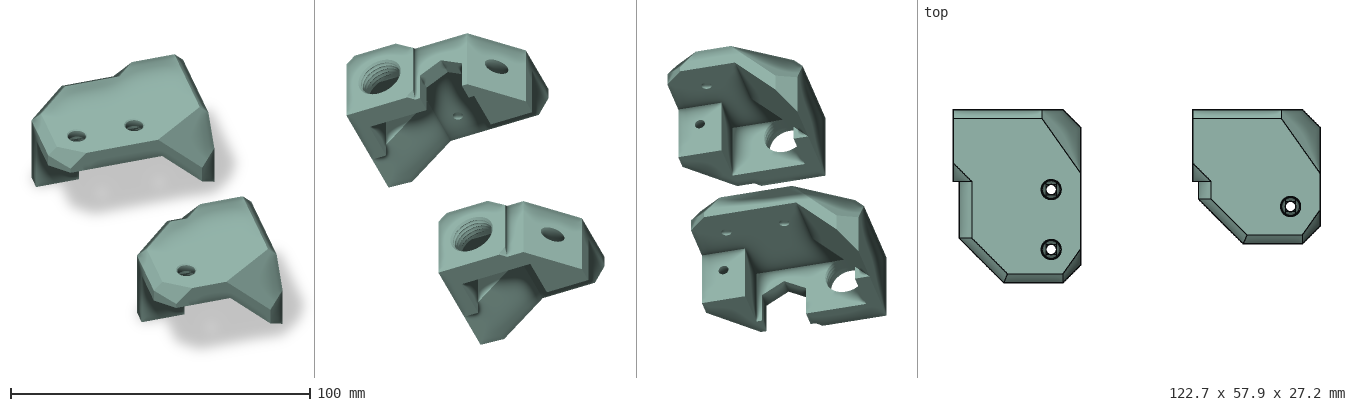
import cadquery as cq
import math

width = 42.7
height = 27.2
long_length = 57.9
short_length = 44.9
spacing = 80.0
oversize = 2 * long_length

tab_step = 2.0
tab_length = 24.0
corner = 6.0
diagonal_leg = 15.0

bevel = corner / 2
root2 = math.sqrt(2)
side_bevel_width = bevel * root2
back_corner_start = 13.0

plate = 7.2
left_wall = 6.0
back_wall = 5.0
front_block_width = 22.5
hollow_left = tab_step + left_wall

bore_diameter = 14.0
thread_diameter = 15.3
thread_pitch = 1.5
bore_y = -tab_length / 2
bore_z = height / 2

nick_height = 2.8
nick_step = 0.9

screw_diameter = 3.4
head_diameter = 6.0
mouth_diameter = 6.7
screw_x = 32.8
long_screws_y = (-26.8, -46.8)
short_screws_y = (-32.4,)
screw_head_depth = 2.8
bridge_step = 0.2
side_screw_z = 12.4
side_screw_to_front = 7.5
side_screw_seat = 6.0

gable_width = 15.2
gable_y = -33.4
gable_eave = 10.7
gable_peak = 15.1


def trim(body, point, normal):
    """Remove everything on the outer side of the plane through a point."""
    plane = cq.Plane(origin=point, normal=normal)
    return body.cut(cq.Workplane(plane).rect(2 * oversize, 2 * oversize).extrude(oversize))


def outline(length):
    return cq.Workplane("XY").polyline([
        (0, 0),
        (width - corner, 0),
        (width, -corner),
        (width, corner - length),
        (width - corner, -length),
        (tab_step + diagonal_leg, -length),
        (tab_step, diagonal_leg - length),
        (tab_step, -tab_length),
        (0, -tab_length),
    ]).close().extrude(height)


def box(x_range, y_range, z_range):
    size = [high - low for low, high in (x_range, y_range, z_range)]
    corner_point = (x_range[0], y_range[0], z_range[0])
    return cq.Workplane("XY").box(*size, centered=False).translate(corner_point)


def hollow(body, length):
    """Leave the top plate, the walls, the front block and a sloping gusset on the right."""
    ceiling = height - plate
    chamber = box((hollow_left, front_block_width), (diagonal_leg - length, -back_wall), (0, ceiling))
    under_slope = (
        cq.Workplane("YZ", origin=(front_block_width, 0, 0))
        .polyline([(0, 0), (-ceiling, ceiling), (-oversize, ceiling), (-oversize, 0)])
        .close()
        .extrude(oversize)
    )
    return body.cut(chamber).cut(under_slope)


def bevel_top(body, length):
    body = trim(body, (0, -bevel, height), (0, 1, 1))
    body = trim(body, (0, bevel - length, height), (0, -1, 1))
    body = trim(body, (width - back_corner_start, -bevel, height), (root2, 1, 1))
    body = trim(body, (width - corner, bevel - length, height), (root2, -1, 1))
    bevel_x = tab_step + side_bevel_width
    body = trim(body, (bevel_x, diagonal_leg - length, height), (-1, -1, root2))
    wall_wedge = (
        cq.Workplane("XZ", origin=(0, -tab_length, 0))
        .polyline([(tab_step, height - bevel), (bevel_x, height), (tab_step, height)])
        .close()
        .extrude(oversize)
    )
    tab_zone = box((0, width), (-tab_length, 0), (0, height))
    tab_offcut = tab_zone.cut(trim(tab_zone, (bevel_x, -tab_length, height), (-1, -1, root2)))
    return body.cut(wall_wedge).cut(tab_offcut)


def nick_tab(body):
    """Cut the lower front corner of the tab back to the line of an upright 45 degree face."""
    depth = tab_step / root2
    section = cq.Plane(origin=(0, -tab_length, 0), xDir=(1, 1, 0), normal=(1, -1, 0))
    cutter = (
        cq.Workplane(section)
        .polyline([(0, 0), (depth, 0), (depth, nick_step), (0, nick_height)])
        .close()
        .extrude(tab_step * root2 / 2, both=True)
    )
    return body.cut(cutter)


def cylinder_x(diameter, y, z, start, end):
    return cq.Workplane("YZ", origin=(start, y, z)).circle(diameter / 2).extrude(end - start)


def cut_bore(body):
    """Ring-grooved bore along X standing in for the thread; its first half pitch is the tapered mouth."""
    root = thread_diameter / 2
    crest = bore_diameter / 2
    profile = [(0, 0)]
    for turn in range(math.ceil(hollow_left / thread_pitch)):
        start = turn * thread_pitch
        profile += [(start, root), (start + thread_pitch / 2, crest)]
    profile.append((profile[-1][0], 0))
    bore = cq.Workplane("XY").polyline(profile).close().revolve(360, (0, 0, 0), (1, 0, 0))
    return body.cut(bore.translate((0, bore_y, bore_z)))


def cut_plate_screw(body, y):
    """Screw hole through the plate: chamfered head recess, two bridging steps, clearance hole."""
    def at(depth):
        return cq.Workplane("XY", origin=(screw_x, y, height - depth))

    mouth_depth = (mouth_diameter - head_diameter) / 2
    mouth = at(0).circle(mouth_diameter / 2).extrude(-mouth_depth, taper=45)
    head = at(0).circle(head_diameter / 2).extrude(-screw_head_depth)
    slot = at(screw_head_depth).rect(screw_diameter, head_diameter).extrude(-bridge_step)
    slot = slot.intersect(at(0).circle(head_diameter / 2).extrude(-plate))
    square = at(screw_head_depth).rect(screw_diameter, screw_diameter).extrude(-2 * bridge_step)
    shank = at(0).circle(screw_diameter / 2).extrude(-plate)
    for cutter in (mouth, head, slot, square, shank):
        body = body.cut(cutter)
    return body


def cut_side_screw(body, length):
    """Counterbored screw hole along X through the front block."""
    y = side_screw_to_front - length
    seat = front_block_width - side_screw_seat
    body = body.cut(cylinder_x(head_diameter, y, side_screw_z, 0, seat))
    return body.cut(cylinder_x(screw_diameter, y, side_screw_z, 0, front_block_width))


def cut_gable(body):
    opening = (
        cq.Workplane("YZ")
        .polyline([
            (gable_y - gable_width / 2, 0),
            (gable_y - gable_width / 2, gable_eave),
            (gable_y, gable_peak),
            (gable_y + gable_width / 2, gable_eave),
            (gable_y + gable_width / 2, 0),
        ])
        .close()
        .extrude(hollow_left)
    )
    return body.cut(opening)


def bracket(length, screws_y):
    body = bevel_top(hollow(outline(length), length), length)
    body = cut_bore(nick_tab(body))
    for y in screws_y:
        body = cut_plate_screw(body, y)
    return cut_side_screw(body, length)


long_bracket = cut_gable(bracket(long_length, long_screws_y))
short_bracket = bracket(short_length, short_screws_y).translate((spacing, 0, 0))

result = cq.Compound.makeCompound([long_bracket.val(), short_bracket.val()])